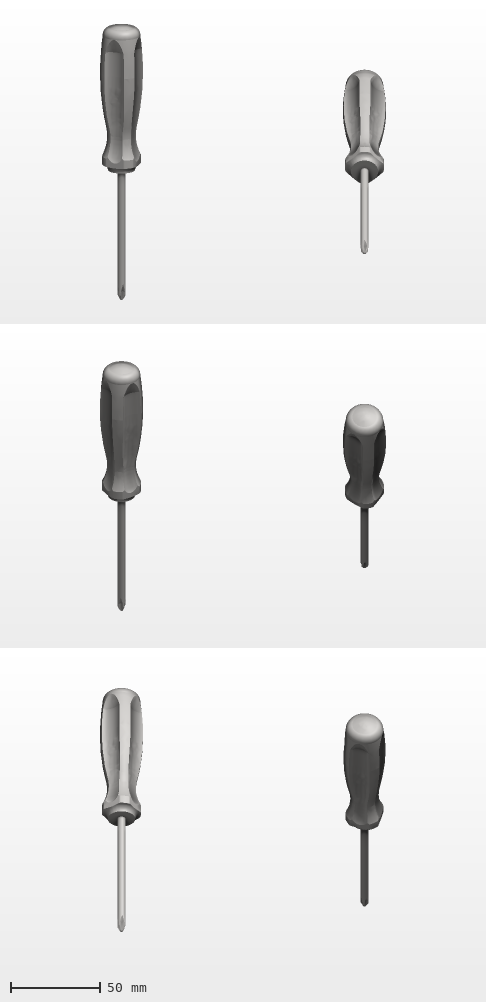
import cadquery as cq
import math

overall_height = 160.66
dome_ring_z = 159.3
dome_base_z = 154.6
belly_z = 132.4
taper_end_z = 101.9
waist_z = 96.0
collar_top_z = 84.5
collar_bottom_z = 79.7
handle_bottom_z = 76.1

dome_ring_radius = 6.74
dome_base_radius = 10.55
belly_radius = 12.15
waist_radius = 8.1
collar_radius = 11.03
nose_radius = 7.68

collar_flat_distance = 9.55
collar_edge_fillet = 1.5
collar_flats_overrun = 2.0

side_count = 4
flute_radius = 8.1
flute_floor_belly = 7.85
flute_floor_waist = 6.45
flute_waist_length = 2.0
flute_top_z = 146.6
flute_exit_floor = 10.85
flute_exit_z = 80.0
cove_end_floor = 10.5
cove_end_z = 154.4
cove_overrun = 2.0

shaft_radius = 2.36
cone_start_z = 3.4
point_ring_radius = 0.9
point_ring_z = 0.45
blade_notch_start_z = 10.0
blade_notch_depth_z = 5.5
web_half_thickness = 0.55
web_half_thickness_at_point = 0.3
shaft_overlap = 1.0


def dome_shoulder_midpoint():
    """Bulging middle point of the arc that joins the dome ring to the dome base."""
    across = dome_base_radius - dome_ring_radius
    rise = dome_ring_z - dome_base_z
    return (
        dome_ring_radius + across * math.sqrt(0.5),
        dome_base_z + rise * math.sqrt(0.5),
    )


def arc_midpoint(vertical_end, far_end):
    """Point halfway along an arc that is vertical at its first end."""
    radial = far_end[0] - vertical_end[0]
    axial = far_end[1] - vertical_end[1]
    arc_radius = (radial**2 + axial**2) / (2 * abs(radial))
    half_angle = math.asin(abs(axial) / arc_radius) / 2
    return (
        vertical_end[0] + math.copysign(arc_radius * (1 - math.cos(half_angle)), radial),
        vertical_end[1] + math.copysign(arc_radius * math.sin(half_angle), axial),
    )


def point_between(start, end, z):
    """Point at height z on the straight line from start to end."""
    share = (z - start[1]) / (end[1] - start[1])
    return (start[0] + share * (end[0] - start[0]), z)


def repeat_around(shape):
    """Yield one copy of the shape for each side of the tool."""
    for side in range(side_count):
        yield shape.rotate((0, 0, 0), (0, 0, 1), side * 360 / side_count)


def make_handle_body():
    dome_base = (dome_base_radius, dome_base_z)
    belly = (belly_radius, belly_z)
    waist = (waist_radius, waist_z)
    taper_end = point_between(belly, waist, taper_end_z)
    collar_top = (collar_radius, collar_top_z)
    collar_bottom = (collar_radius, collar_bottom_z)
    nose = (nose_radius, handle_bottom_z)
    apex = (0, overall_height)
    dome_ring = (dome_ring_radius, dome_ring_z)
    crown_midpoint = (dome_ring_radius / 2, overall_height - (overall_height - dome_ring_z) / 4)
    return (
        cq.Workplane("XZ")
        .moveTo(*apex)
        .threePointArc(crown_midpoint, dome_ring)
        .threePointArc(dome_shoulder_midpoint(), dome_base)
        .threePointArc(arc_midpoint(belly, dome_base), belly)
        .threePointArc(arc_midpoint(belly, taper_end), taper_end)
        .threePointArc(arc_midpoint(waist, taper_end), waist)
        .threePointArc(arc_midpoint(waist, collar_top), collar_top)
        .lineTo(*collar_bottom)
        .threePointArc(arc_midpoint(nose, collar_bottom), nose)
        .lineTo(0, handle_bottom_z)
        .close()
        .revolve(360, (0, 0, 0), (0, 1, 0))
    )


def make_collar_trim():
    """Ring of material outside the four collar flats and their rounded edges."""
    height = collar_top_z + collar_flats_overrun - handle_bottom_z
    base = cq.Workplane("XY", origin=(0, 0, handle_bottom_z))
    outside = base.circle(2 * collar_radius).extrude(height)
    square = base.rect(2 * collar_flat_distance, 2 * collar_flat_distance).extrude(height)
    kept = base.circle(collar_radius).extrude(height).intersect(square)
    kept = kept.edges("|Z").fillet(collar_edge_fillet)
    return outside.cut(kept)


def make_flute():
    """Concave groove on the +X side, following the belly, waist and collar flare."""
    belly_floor = (flute_floor_belly, belly_z)
    waist_top = (flute_floor_waist, waist_z + flute_waist_length / 2)
    waist_bottom = (flute_floor_waist, waist_z - flute_waist_length / 2)
    exit_floor = (flute_exit_floor, flute_exit_z)
    floor_line = (
        cq.Workplane("XZ")
        .moveTo(flute_floor_belly, flute_top_z)
        .lineTo(*belly_floor)
        .spline([waist_top], tangents=[(0, -1), (0, -1)], includeCurrent=True)
        .lineTo(*waist_bottom)
        .threePointArc(arc_midpoint(waist_bottom, exit_floor), exit_floor)
    )
    return (
        cq.Workplane("XY", origin=(flute_floor_belly + flute_radius, 0, flute_top_z))
        .moveTo(0, flute_radius)
        .threePointArc((-flute_radius, 0), (0, -flute_radius))
        .close()
        .sweep(floor_line)
    )


def make_cove():
    """Sloping round end that runs each flute out below the dome."""
    slope = (cove_end_floor - flute_floor_belly) / (cove_end_z - flute_top_z)
    top_z = cove_end_z + cove_overrun
    top_floor = cove_end_floor + cove_overrun * slope
    return (
        cq.Workplane("XY", origin=(0, 0, flute_top_z))
        .center(flute_floor_belly + flute_radius, 0)
        .circle(flute_radius)
        .workplane(offset=top_z - flute_top_z)
        .center(top_floor - flute_floor_belly, 0)
        .circle(flute_radius)
        .loft(ruled=True)
    )


def make_handle():
    handle = make_handle_body().cut(make_collar_trim())
    for cutter in (make_flute(), make_cove()):
        for copy in repeat_around(cutter):
            handle = handle.cut(copy)
    return handle


def make_blade_notch():
    """Square-cornered wedge that leaves a cross-shaped web at the point."""
    size = 2 * shaft_radius
    surface_corner = shaft_radius * math.sqrt(0.5)
    sections = (
        (blade_notch_start_z, surface_corner),
        (blade_notch_depth_z, web_half_thickness),
        (0, web_half_thickness_at_point),
    )
    notch = cq.Workplane("XY")
    previous_z = 0
    for z, corner in sections:
        middle = corner + size / 2
        notch = notch.workplane(offset=z - previous_z)
        notch = notch.moveTo(middle, middle).rect(size, size)
        previous_z = z
    return notch.loft(ruled=True)


def make_shaft():
    shaft_top_z = handle_bottom_z + shaft_overlap
    shaft = (
        cq.Workplane("XZ")
        .moveTo(0, 0)
        .lineTo(point_ring_radius, point_ring_z)
        .lineTo(shaft_radius, cone_start_z)
        .lineTo(shaft_radius, shaft_top_z)
        .lineTo(0, shaft_top_z)
        .close()
        .revolve(360, (0, 0, 0), (0, 1, 0))
    )
    for notch in repeat_around(make_blade_notch()):
        shaft = shaft.cut(notch)
    return shaft


result = make_handle().union(make_shaft())